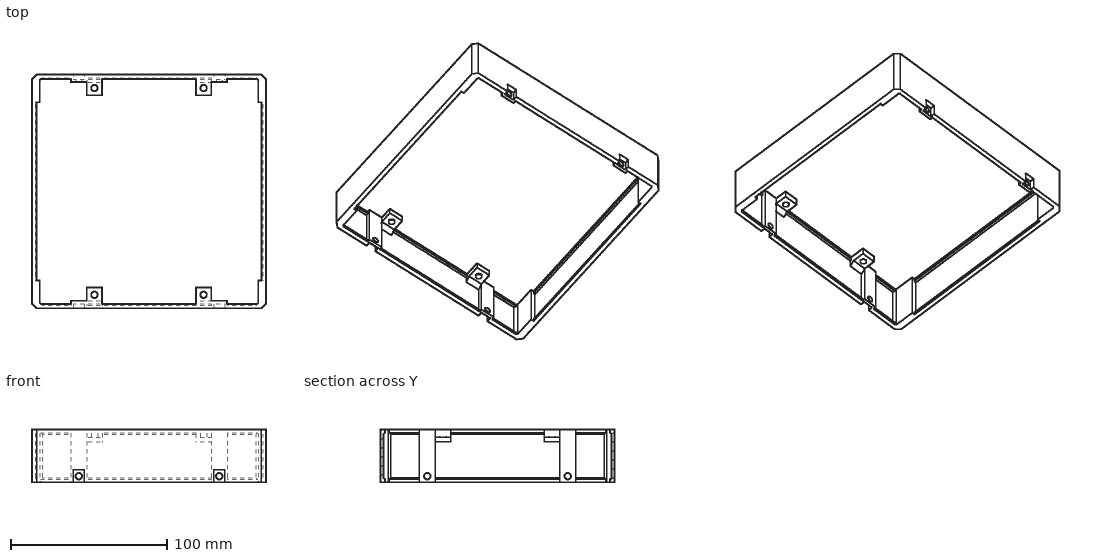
import cadquery as cq
import math

SIDE = 150.0
HEIGHT = 34.0
CORNER_CHAMFER = 3.0
RIM = 3.0
OPENING = SIDE - 2 * RIM
HALF_SIDE = SIDE / 2

RELIEF_DEPTH = 1.0
RIM_HEIGHT = 2.0
CORNER_WALL = RIM + RELIEF_DEPTH

BLOCK_THICKNESS = 5.0
CORNER_BLOCK_LENGTH = 18.0
POST_WIDTH = 10.0
POST_X = 45.0

LUG_X = 35.0
LUG_WIDTH = 10.0
LUG_REACH = 13.5
LUG_THICKNESS = 5.0
LUG_HOLE_INSET = 8.75
GUSSET_LEG = 3.0

HOLE_DIAMETER = 4.0
SIDE_HOLE_Z = 4.0
POCKET_WIDTH = 7.0
POCKET_HEIGHT = 8.0
POCKET_DEPTH = 3.0

SIGNS = (-1, 1)


def standing_box(x_size, y_size, z_size, x, y, z_bottom):
    """Box centred at (x, y) with its lower face at z_bottom."""
    box = cq.Workplane("XY").box(x_size, y_size, z_size, centered=(True, True, False))
    return box.translate((x, y, z_bottom))


def chamfered_block(chamfer):
    """Solid block of the overall size with chamfered vertical edges."""
    return standing_box(SIDE, SIDE, HEIGHT, 0, 0, 0).edges("|Z").chamfer(chamfer)


def make_relief():
    """Square slab with 45-degree bevels on its four upper and four lower edges."""
    size = OPENING + 2 * RELIEF_DEPTH
    relief = standing_box(size, size, HEIGHT - 2 * RIM_HEIGHT, 0, 0, RIM_HEIGHT)
    return relief.faces("<Z or >Z").edges().chamfer(RELIEF_DEPTH)


def make_frame():
    """Square ring with a relief between its rims and full-height bevelled inner corners."""
    cavity = standing_box(OPENING, OPENING, HEIGHT, 0, 0, 0).union(make_relief())
    inner_chamfer = CORNER_CHAMFER + CORNER_WALL * math.sqrt(2)
    cavity = cavity.intersect(chamfered_block(inner_chamfer))
    return chamfered_block(CORNER_CHAMFER).cut(cavity)


def make_corner_block(x_sign, y_sign):
    """Thickened end of an X-side wall, set into the relief behind it."""
    x_size = BLOCK_THICKNESS - RIM + RELIEF_DEPTH
    x = x_sign * (HALF_SIDE - BLOCK_THICKNESS + x_size / 2)
    y_size = CORNER_BLOCK_LENGTH - RIM + RELIEF_DEPTH
    y = y_sign * (HALF_SIDE - CORNER_BLOCK_LENGTH + y_size / 2)
    return standing_box(x_size, y_size, HEIGHT, x, y, 0)


def make_post(x_sign, y_sign):
    """Full-height post that carries a side screw."""
    y = y_sign * (HALF_SIDE - BLOCK_THICKNESS / 2)
    return standing_box(POST_WIDTH, BLOCK_THICKNESS, HEIGHT, x_sign * POST_X, y, 0)


def make_lug(x_sign, y_sign):
    """Flat tab level with the top face, with a gusset against the wall below it."""
    wall_face = HALF_SIDE - RIM + RELIEF_DEPTH
    tip = HALF_SIDE - LUG_REACH
    underside = HEIGHT - LUG_THICKNESS
    profile = [
        (tip, HEIGHT),
        (tip, underside),
        (wall_face - GUSSET_LEG, underside),
        (wall_face, underside - GUSSET_LEG),
        (HALF_SIDE, underside - GUSSET_LEG),
        (HALF_SIDE, HEIGHT),
    ]
    lug = cq.Workplane("YZ").polyline(profile).close().extrude(LUG_WIDTH / 2, both=True)
    if y_sign < 0:
        lug = lug.mirror("XZ")
    return lug.translate((x_sign * LUG_X, 0, 0))


def make_lug_hole(x_sign, y_sign):
    """Vertical screw hole through a lug."""
    hole = cq.Workplane("XY").circle(HOLE_DIAMETER / 2).extrude(HEIGHT)
    return hole.translate((x_sign * LUG_X, y_sign * (HALF_SIDE - LUG_HOLE_INSET), 0))


def make_side_screw_cut(x_sign, y_sign):
    """Screw hole through a post, and its pocket in the outer wall face."""
    x = x_sign * POST_X
    hole = cq.Workplane("XZ").circle(HOLE_DIAMETER / 2).extrude(BLOCK_THICKNESS / 2, both=True)
    hole = hole.translate((x, y_sign * (HALF_SIDE - BLOCK_THICKNESS / 2), SIDE_HOLE_Z))
    pocket_y = y_sign * (HALF_SIDE - POCKET_DEPTH / 2)
    return hole.union(standing_box(POCKET_WIDTH, POCKET_DEPTH, POCKET_HEIGHT, x, pocket_y, 0))


result = make_frame()
for x_sign in SIGNS:
    for y_sign in SIGNS:
        result = result.union(make_corner_block(x_sign, y_sign))
        result = result.union(make_post(x_sign, y_sign))
        result = result.union(make_lug(x_sign, y_sign))
        result = result.cut(make_lug_hole(x_sign, y_sign))
        result = result.cut(make_side_screw_cut(x_sign, y_sign))